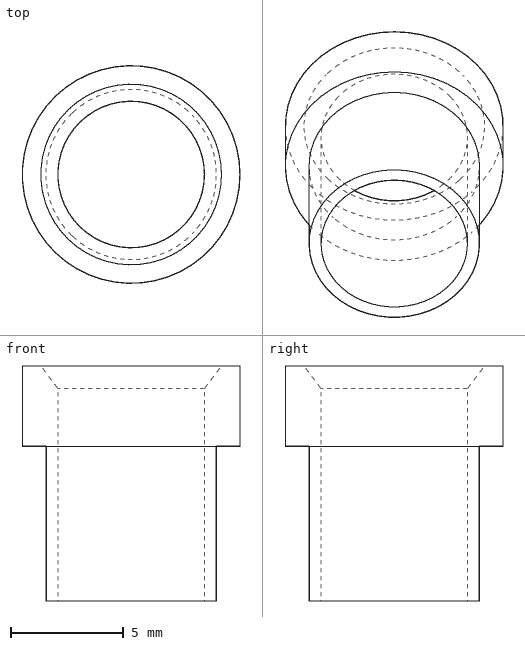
import cadquery as cq
import math

total_height = 10.41
collar_height = 3.56
collar_diameter = 9.65
tube_diameter = 7.55
bore_diameter = 6.48

seat_diameter = 8.0
seat_half_angle = 37.0
seat_depth = (seat_diameter - bore_diameter) / 2 / math.tan(math.radians(seat_half_angle))

tube_height = total_height - collar_height


def make_sleeve():
    """Revolve the wall's half section, drawn as (radius, height), about Z."""
    half_section = [
        (bore_diameter / 2, 0),
        (tube_diameter / 2, 0),
        (tube_diameter / 2, tube_height),
        (collar_diameter / 2, tube_height),
        (collar_diameter / 2, total_height),
        (seat_diameter / 2, total_height),
        (bore_diameter / 2, total_height - seat_depth),
    ]
    section = cq.Workplane("XZ").polyline(half_section).close()
    return section.revolve(360, (0, 0, 0), (0, 1, 0))


result = make_sleeve()